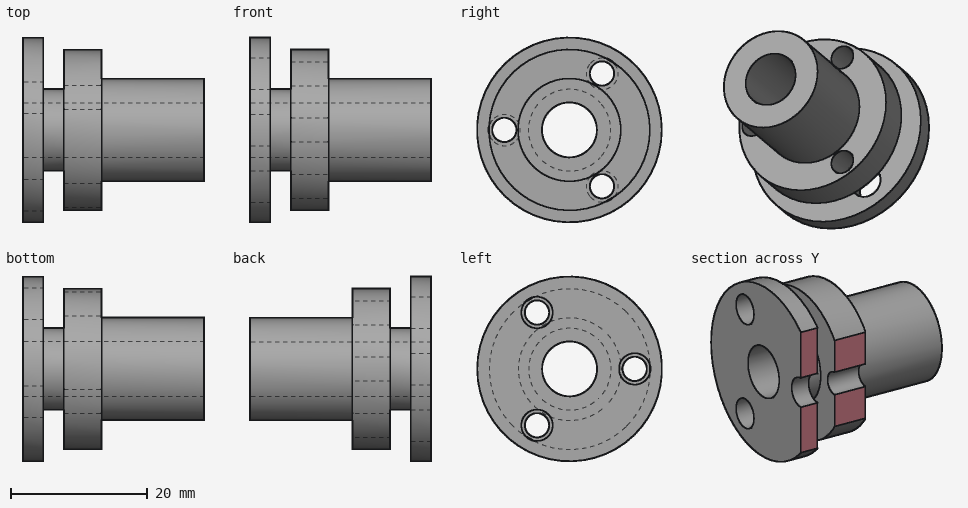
import cadquery as cq

flange_diameter = 27.0
flange_length = 3.0
neck_diameter = 12.0
neck_length = flange_length
collar_diameter = 23.5
collar_length = 5.5
sleeve_diameter = 15.0
sleeve_length = 14.98
bore_diameter = 8.0

hole_count = 3
hole_circle_diameter = 19.0
flange_hole_diameter = 4.6
collar_hole_diameter = 3.5
first_hole_angle = 180.0

collar_start = flange_length + neck_length
sleeve_start = collar_start + collar_length
total_length = sleeve_start + sleeve_length


def cylinder(diameter, start, length):
    """Cylinder on the X axis, running in +X from start."""
    return cq.Workplane("YZ", origin=(start, 0, 0)).circle(diameter / 2).extrude(length)


def hole_ring(diameter, start, length):
    """Equally spaced round cutters on the hole circle."""
    return (
        cq.Workplane("YZ", origin=(start, 0, 0))
        .polarArray(hole_circle_diameter / 2, first_hole_angle, 360, hole_count)
        .circle(diameter / 2)
        .extrude(length)
    )


body = (
    cylinder(flange_diameter, 0, flange_length)
    .union(cylinder(neck_diameter, flange_length, neck_length))
    .union(cylinder(collar_diameter, collar_start, collar_length))
    .union(cylinder(sleeve_diameter, sleeve_start, sleeve_length))
)

result = (
    body.cut(cylinder(bore_diameter, 0, total_length))
    .cut(hole_ring(flange_hole_diameter, 0, flange_length))
    .cut(hole_ring(collar_hole_diameter, collar_start, collar_length))
)